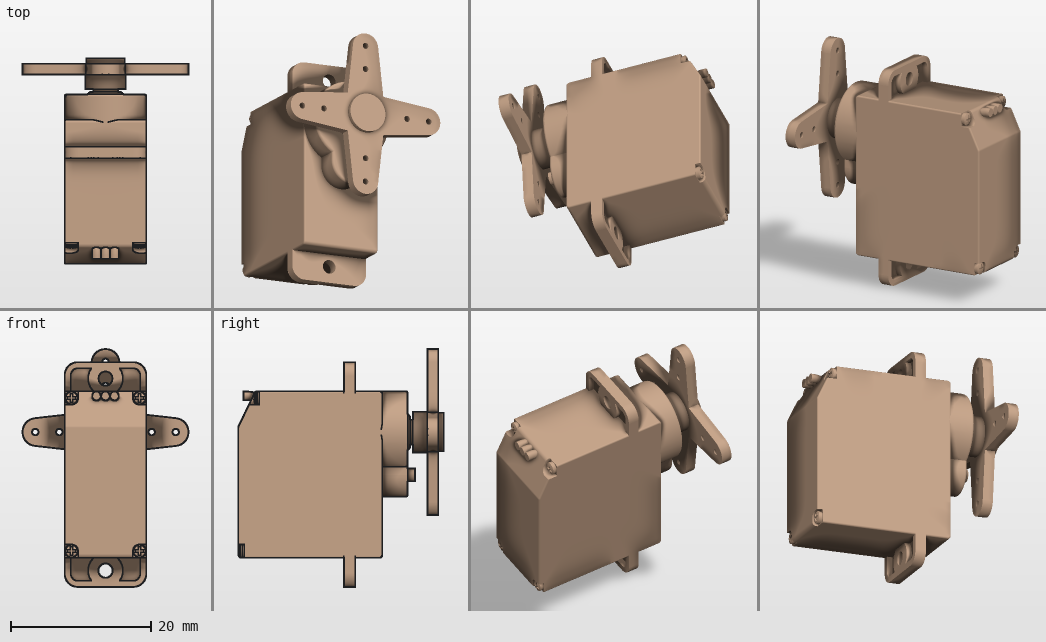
import cadquery as cq
import math


CASE_WIDTH = 11.65
CASE_TOP = CASE_WIDTH / 2
CASE_BOTTOM = -17.95
CASE_BACK = -20.55
SLOPE_TOP_Y = -18.07
SLOPE_LOW_Z = 0.75
FRONT_FILLET = 0.47
BACK_FILLET = 0.58
SIDE_FILLET = 0.25

EAR_LENGTH = 4.15
EAR_FRONT = -3.85
EAR_THICKNESS = 1.63
EAR_CORNER_RADIUS = 1.9
EAR_HOLE_DIAMETER = 2.0
EAR_HOLE_OFFSET = 1.8
EAR_BOSS_DIAMETER = 4.95
EAR_RIM = 0.88
EAR_POCKET_DEPTH = 0.8
EAR_POCKET_RADIUS = EAR_CORNER_RADIUS - EAR_RIM

BOSS_HEIGHT = 3.6
BOSS_FILLET = 0.35
IDLER_RADIUS = 3.12
IDLER_Z = -6.1
IDLER_PIN_DIAMETER = 1.83
IDLER_PIN_END = 4.65
COLLAR_BASE_DIAMETER = 5.15
COLLAR_TOP_DIAMETER = 4.4
COLLAR_HEIGHT = 0.35
SHAFT_DIAMETER = 3.55

SCREW_INSET = 1.0
SCREW_POCKET_RADIUS = 0.95
UPPER_SCREW_SEAT = -17.53
LOWER_SCREW_SEAT = -19.7
SCREW_NECK_DIAMETER = 1.75
SCREW_NECK_HEIGHT = 0.27
SCREW_HEAD_DIAMETER = 1.83
SCREW_RIM_HEIGHT = 0.55
SCREW_HEIGHT = 0.78
CROSS_LENGTH = 1.25
CROSS_WIDTH = 0.35
CROSS_DEPTH = 0.27

WIRE_COUNT = 3
WIRE_DIAMETER = 1.25
WIRE_PITCH = 1.3
WIRE_Z = 5.15
WIRE_BEND_Y = -19.2
WIRE_END_Y = -19.8
WIRE_BEND_RADIUS = 2.05

ARM_COUNT = 4
ARM_REACH = 11.85
ARM_TIP_RADIUS = 2.0
ARM_ROOT = 2.8
ARM_BACK = 6.4
ARM_THICKNESS = 1.55
ARM_HOLE_DIAMETER = 0.88
ARM_HOLE_RADII = (6.58, 10.0)
HUB_BACK = 4.35
HUB_FRONT = 8.75
HUB_DIAMETER = 5.83
HUB_CAP_DIAMETER = 5.53

EAR_BACK = EAR_FRONT - EAR_THICKNESS
SLOPE_ANGLE = math.atan2(SLOPE_TOP_Y - CASE_BACK, CASE_TOP - SLOPE_LOW_Z)


def section_at(y):
    """XZ sketch plane at depth y: local x = X, local y = Z, extrusion toward +Y."""
    return cq.Workplane(cq.Plane(origin=(0, y, 0), xDir=(1, 0, 0), normal=(0, -1, 0)))


def rod(diameter, y_start, y_end, x=0.0, z=0.0):
    """Cylinder along Y."""
    return section_at(y_start).center(x, z).circle(diameter / 2).extrude(y_start - y_end)


def make_case_box():
    """Box with a sloped upper back, rounded most on the edges that run along X."""
    box = (
        cq.Workplane("YZ", origin=(-CASE_WIDTH / 2, 0, 0))
        .moveTo(0, CASE_BOTTOM)
        .lineTo(0, CASE_TOP)
        .lineTo(SLOPE_TOP_Y, CASE_TOP)
        .lineTo(CASE_BACK, SLOPE_LOW_Z)
        .lineTo(CASE_BACK, CASE_BOTTOM)
        .close()
        .extrude(CASE_WIDTH)
    )
    box = box.faces(">Y").edges("|X").fillet(FRONT_FILLET)
    back_edges = cq.selectors.BoxSelector(
        (-CASE_WIDTH, CASE_BACK - BACK_FILLET, CASE_BOTTOM - BACK_FILLET),
        (CASE_WIDTH, SLOPE_TOP_Y + BACK_FILLET, CASE_TOP + BACK_FILLET),
    )
    box = box.edges("|X").edges(back_edges).fillet(BACK_FILLET)
    return box.faces("<X or >X").edges().fillet(SIDE_FILLET)


def make_ears():
    """Rounded plate through the case, with a pocketed back around each mounting hole."""
    top = CASE_TOP + EAR_LENGTH
    bottom = CASE_BOTTOM - EAR_LENGTH
    height = top - bottom
    middle = (top + bottom) / 2
    plate = (
        section_at(EAR_BACK)
        .center(0, middle)
        .rect(CASE_WIDTH, height)
        .extrude(-EAR_THICKNESS)
        .edges("|Y")
        .fillet(EAR_CORNER_RADIUS)
    )
    pocket = (
        section_at(EAR_BACK)
        .center(0, middle)
        .rect(CASE_WIDTH - 2 * EAR_RIM, height - 2 * EAR_RIM)
        .extrude(-EAR_POCKET_DEPTH)
        .edges("|Y")
        .fillet(EAR_POCKET_RADIUS)
    )
    hole_heights = (CASE_TOP + EAR_HOLE_OFFSET, CASE_BOTTOM - EAR_HOLE_OFFSET)
    for z in hole_heights:
        pocket = pocket.cut(rod(EAR_BOSS_DIAMETER, EAR_BACK, EAR_FRONT, z=z))
    plate = plate.cut(pocket)
    for z in hole_heights:
        plate = plate.cut(rod(EAR_HOLE_DIAMETER, EAR_BACK, EAR_FRONT, z=z))
    return plate


def make_gear_boss():
    """Round boss on the horn axis joined to a smaller round-ended boss below it.

    Both start inside the case, so that no gap is left over its rounded front edge.
    """
    boss = rod(CASE_WIDTH, -FRONT_FILLET, BOSS_HEIGHT)
    idler = rod(2 * IDLER_RADIUS, -FRONT_FILLET, BOSS_HEIGHT, z=IDLER_Z)
    web = (
        section_at(-FRONT_FILLET)
        .center(0, IDLER_Z / 2)
        .rect(2 * IDLER_RADIUS, -IDLER_Z)
        .extrude(-FRONT_FILLET - BOSS_HEIGHT)
    )
    boss = boss.union(web).union(idler).faces(">Y").edges().fillet(BOSS_FILLET)
    return boss.union(rod(IDLER_PIN_DIAMETER, 0, IDLER_PIN_END, z=IDLER_Z))


def make_output_shaft():
    """Short shaft rising from a conical collar up to the horn hub."""
    collar = (
        section_at(BOSS_HEIGHT)
        .circle(COLLAR_BASE_DIAMETER / 2)
        .workplane(offset=-COLLAR_HEIGHT)
        .circle(COLLAR_TOP_DIAMETER / 2)
        .loft()
    )
    return collar.union(rod(SHAFT_DIAMETER, BOSS_HEIGHT, HUB_BACK))


def make_screw_pocket(x_side, z_side, x, z, seat):
    """Corner recess open to the outside, rounded around the screw on the inner corner."""
    size = SCREW_INSET + SCREW_POCKET_RADIUS
    pocket = (
        section_at(seat)
        .center(x + x_side * (SCREW_INSET - size / 2), z + z_side * (SCREW_INSET - size / 2))
        .rect(size, size)
        .extrude(seat - CASE_BACK)
    )
    inner_x = "<X" if x_side > 0 else ">X"
    inner_z = "<Z" if z_side > 0 else ">Z"
    return pocket.edges("|Y").edges(inner_x).edges(inner_z).fillet(SCREW_POCKET_RADIUS)


def make_screw(x, z, seat):
    """Domed screw head with a cross recess, facing -Y."""
    rim_y = seat - SCREW_RIM_HEIGHT
    top_y = seat - SCREW_HEIGHT
    head_radius = SCREW_HEAD_DIAMETER / 2
    neck_radius = SCREW_NECK_DIAMETER / 2
    neck_y = seat - SCREW_NECK_HEIGHT
    dome_rise = SCREW_HEIGHT - SCREW_RIM_HEIGHT
    dome_radius = (head_radius**2 + dome_rise**2) / (2 * dome_rise)
    half_chord = head_radius / 2
    half_rise = math.sqrt(dome_radius**2 - half_chord**2) - dome_radius
    head = (
        cq.Workplane("XY")
        .lineTo(neck_radius, 0)
        .lineTo(neck_radius, neck_y - seat)
        .lineTo(head_radius, neck_y - seat)
        .lineTo(head_radius, rim_y - seat)
        .threePointArc((half_chord, top_y - seat - half_rise), (0, top_y - seat))
        .close()
        .revolve(360, (0, 0, 0), (0, 1, 0))
        .translate((x, seat, z))
    )
    for width, height in ((CROSS_LENGTH, CROSS_WIDTH), (CROSS_WIDTH, CROSS_LENGTH)):
        slot = section_at(top_y).center(x, z).rect(width, height).extrude(-CROSS_DEPTH)
        head = head.cut(slot)
    return head


def make_wire(x):
    """Wire leaving nearly square to the slope and bending to run straight back."""
    sweep_angle = 2 * SLOPE_ANGLE
    start = (
        WIRE_BEND_Y + WIRE_BEND_RADIUS * math.sin(sweep_angle),
        WIRE_Z - WIRE_BEND_RADIUS * (1 - math.cos(sweep_angle)),
    )
    middle = (
        WIRE_BEND_Y + WIRE_BEND_RADIUS * math.sin(SLOPE_ANGLE),
        WIRE_Z - WIRE_BEND_RADIUS * (1 - math.cos(SLOPE_ANGLE)),
    )
    path = (
        cq.Workplane("YZ", origin=(x, 0, 0))
        .moveTo(WIRE_END_Y, WIRE_Z)
        .lineTo(WIRE_BEND_Y, WIRE_Z)
        .threePointArc(middle, start)
    )
    return section_at(WIRE_END_Y).center(x, WIRE_Z).circle(WIRE_DIAMETER / 2).sweep(path)


def make_case():
    """Servo case with ears, gear boss, shaft, corner screws and cable as one body."""
    case = make_case_box().union(make_gear_boss()).union(make_output_shaft())
    screw_rows = (
        (1, CASE_TOP - SCREW_INSET, UPPER_SCREW_SEAT),
        (-1, CASE_BOTTOM + SCREW_INSET, LOWER_SCREW_SEAT),
    )
    for z_side, z, seat in screw_rows:
        for x_side in (-1, 1):
            x = x_side * (CASE_WIDTH / 2 - SCREW_INSET)
            case = case.cut(make_screw_pocket(x_side, z_side, x, z, seat))
            case = case.union(make_screw(x, z, seat))
    for index in range(WIRE_COUNT):
        case = case.union(make_wire((index - (WIRE_COUNT - 1) / 2) * WIRE_PITCH))
    return case.union(make_ears())


def make_arm():
    """Tapered horn arm along +X, its sides tangent to the round tip."""
    tip_x = ARM_REACH - ARM_TIP_RADIUS
    span = math.hypot(tip_x - ARM_ROOT, ARM_ROOT)
    touch_angle = math.atan2(ARM_ROOT, ARM_ROOT - tip_x) - math.acos(ARM_TIP_RADIUS / span)
    touch_x = tip_x + ARM_TIP_RADIUS * math.cos(touch_angle)
    touch_z = ARM_TIP_RADIUS * math.sin(touch_angle)
    arm = (
        section_at(ARM_BACK)
        .lineTo(ARM_ROOT, ARM_ROOT)
        .lineTo(touch_x, touch_z)
        .threePointArc((ARM_REACH, 0), (touch_x, -touch_z))
        .lineTo(ARM_ROOT, -ARM_ROOT)
        .close()
        .extrude(-ARM_THICKNESS)
    )
    for radius in ARM_HOLE_RADII:
        arm = arm.cut(rod(ARM_HOLE_DIAMETER, ARM_BACK, ARM_BACK + ARM_THICKNESS, x=radius))
    return arm


def make_horn():
    """Four-armed horn on a stepped hub."""
    horn = rod(HUB_DIAMETER, HUB_BACK, ARM_BACK)
    horn = horn.union(rod(HUB_CAP_DIAMETER, ARM_BACK, HUB_FRONT))
    arm = make_arm()
    for index in range(ARM_COUNT):
        turn = index * 360 / ARM_COUNT
        horn = horn.union(arm.rotate((0, 0, 0), (0, 1, 0), turn))
    return horn


case = make_case()
horn = make_horn()

result = cq.Compound.makeCompound([case.val(), horn.val()])